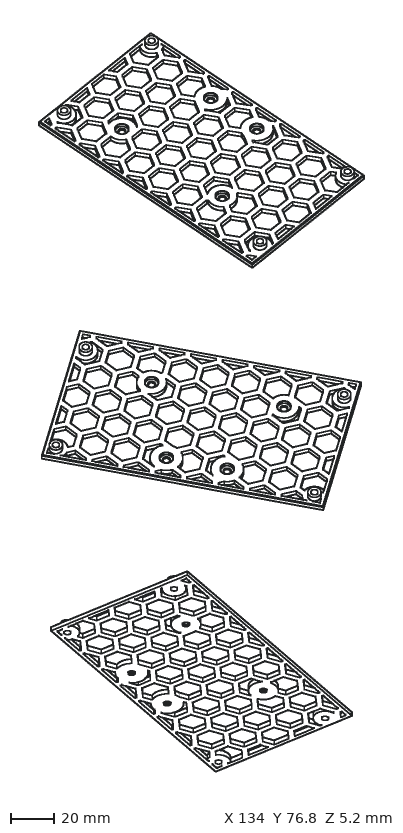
import cadquery as cq
import math

length = 134.0
width = 76.8
plate_thickness = 2.5
total_height = 5.2
edge_chamfer = 0.4
frame_width = 2.0

hex_across_flats = 12.0
web_width = 3.0
hex_pitch = hex_across_flats + web_width
row_pitch = hex_pitch * math.sqrt(3) / 2

pin_x = 61.5
pin_y_rear = 33.0
pin_y_front = -27.0
pin_diameter = 6.2
pin_hole_diameter = 3.2
pin_pad_diameter = 11.3
rear_pad_gap = 0.1

rear_seats = [(-18.5, 26.5), (10.5, 26.5)]
front_seats = [(-35.5, -15.8), (27.5, -15.8)]
rear_pad_diameter = 15.3
front_pad_diameter = 14.0
seat_hole_diameter = 3.3
counterbore_diameter = 6.3
counterbore_rim_diameter = 6.5
counterbore_depth = 1.6
seat_hole_chamfer = 0.1

rear_pins = [(-pin_x, pin_y_rear), (pin_x, pin_y_rear)]
front_pins = [(-pin_x, pin_y_front), (pin_x, pin_y_front)]
pins = rear_pins + front_pins
window_length = length - 2 * frame_width
window_width = width - 2 * frame_width


def cylinders(points, diameter, height, base=0.0):
    """Upright cylinders of one size, standing at the given points."""
    return cq.Workplane("XY").workplane(offset=base).pushPoints(points).circle(diameter / 2).extrude(height)


def hex_centers():
    """Centres of all hexagons that reach into the window; odd rows shift by half a pitch."""
    rows = math.ceil(window_width / 2 / row_pitch)
    columns = math.ceil(window_length / 2 / hex_pitch)
    centers = []
    for row in range(-rows, rows + 1):
        shift = hex_pitch / 2 if row % 2 else 0.0
        for column in range(-columns - 1, columns + 1):
            centers.append((column * hex_pitch + shift, row * row_pitch))
    return centers


def window_block(gap=0.0):
    """Block filling the window, with a gap all around towards the frame."""
    return cq.Workplane("XY").box(
        window_length - 2 * gap, window_width - 2 * gap, plate_thickness, centered=(True, True, False)
    )


def honeycomb_openings():
    """Hexagonal prisms trimmed to the window inside the frame."""
    corner_radius = hex_across_flats / math.sqrt(3)
    corner_angles = [math.radians(30 + 60 * corner) for corner in range(7)]
    corners = [(corner_radius * math.cos(a), corner_radius * math.sin(a)) for a in corner_angles]
    hexagon = cq.Sketch().polygon(corners)
    prisms = cq.Workplane("XY").pushPoints(hex_centers()).placeSketch(hexagon).extrude(plate_thickness)
    return window_block().intersect(prisms)


def screw_cutter():
    """Through holes and counterbores of all screw seats, turned from one half profile."""
    floor = plate_thickness - counterbore_depth
    hole_radius = seat_hole_diameter / 2
    bore_radius = counterbore_diameter / 2
    rim_radius = counterbore_rim_diameter / 2
    rim_chamfer = rim_radius - bore_radius
    profile = [
        (0, 0),
        (hole_radius, 0),
        (hole_radius, floor - seat_hole_chamfer),
        (hole_radius + seat_hole_chamfer, floor),
        (bore_radius, floor),
        (bore_radius, plate_thickness - rim_chamfer),
        (rim_radius, plate_thickness),
        (0, plate_thickness),
    ]
    cutter = cq.Workplane("XZ").polyline(profile).close().revolve(360, (0, 0), (0, 1)).val()
    seats = cq.Workplane("XY").pushPoints(rear_seats + front_seats)
    return seats.eachpoint(lambda location: cutter.moved(location))


plate = cq.Workplane("XY").box(length, width, plate_thickness, centered=(True, True, False))
plate = plate.faces(">Z").edges().chamfer(edge_chamfer)
plate = plate.cut(honeycomb_openings())

rear_pin_pads = cylinders(rear_pins, pin_pad_diameter, plate_thickness)
front_pin_pads = cylinders(front_pins, pin_pad_diameter, plate_thickness)
plate = plate.union(rear_pin_pads.intersect(window_block(rear_pad_gap)))
plate = plate.union(front_pin_pads.intersect(window_block()))
plate = plate.union(cylinders(rear_seats, rear_pad_diameter, plate_thickness))
plate = plate.union(cylinders(front_seats, front_pad_diameter, plate_thickness))

plate = plate.union(cylinders(pins, pin_diameter, total_height))
plate = plate.cut(cylinders(pins, pin_hole_diameter, total_height))

plate = plate.cut(screw_cutter())

result = plate.clean()